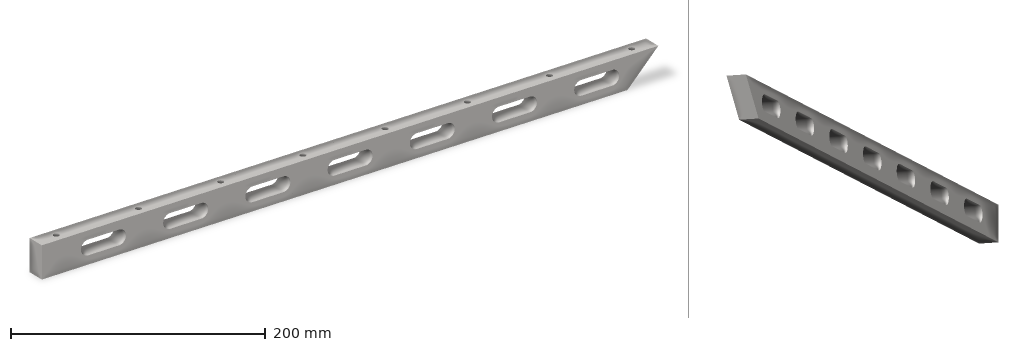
import cadquery as cq

length = 600.0
width = 16.0
height = 30.0
miter_run = height

slot_count = 7
slot_end_distance = 60.0
slot_pitch = (length - 2 * slot_end_distance) / (slot_count - 1)
slot_length = 44.0
slot_height = 14.0

hole_count = slot_count + 1
hole_diameter = 5.5
hole_depth = 12.0


def centred_row(count):
    """Y positions of evenly pitched features, centred along the bar."""
    return [(i - (count - 1) / 2) * slot_pitch for i in range(count)]


def make_bar():
    """Rectangular bar whose +Y end leans back toward the underside."""
    outline = [
        (-length / 2, -height / 2),
        (length / 2 - miter_run, -height / 2),
        (length / 2, height / 2),
        (-length / 2, height / 2),
    ]
    return cq.Workplane("YZ").polyline(outline).close().extrude(width / 2, both=True)


def make_slots():
    """Round-ended cutters passing through the full width."""
    centres = [(y, 0) for y in centred_row(slot_count)]
    return (
        cq.Workplane("YZ")
        .pushPoints(centres)
        .slot2D(slot_length, slot_height)
        .extrude(width, both=True)
    )


def make_holes():
    """Round cutters sunk vertically into the top face."""
    centres = [(0, y) for y in centred_row(hole_count)]
    return (
        cq.Workplane("XY", origin=(0, 0, height / 2))
        .pushPoints(centres)
        .circle(hole_diameter / 2)
        .extrude(-hole_depth)
    )


result = make_bar().cut(make_slots()).cut(make_holes())